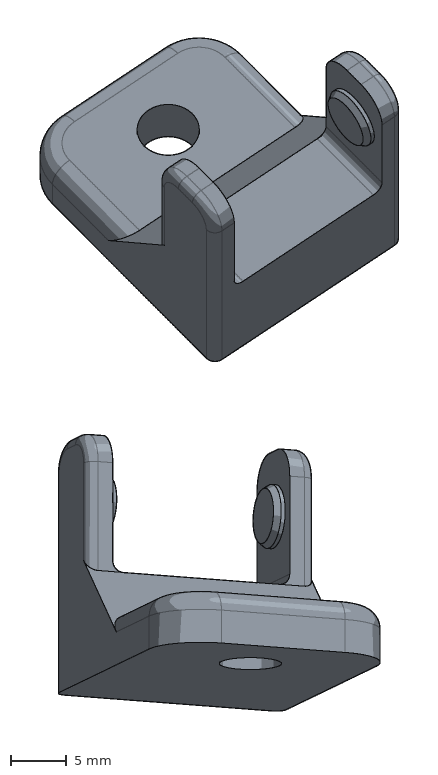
import cadquery as cq

length = 28.0
width = 22.0
height = 23.0

plate_height = 5.0
plate_corner_radius = 5.0
plate_edge_radius = 2.0
hole_diameter = 5.6
hole_x = 8.0

seat_height = 10.0

arm_depth = 8.0
arm_thickness = 2.45
arm_top_radius = 3.0
arm_edge_radius = 1.0
root_radius = 1.0

pin_diameter = 5.8
pin_length = 0.98
pin_taper_length = 0.6
pin_taper_inset = 0.4
pin_z = 17.0

arm_x = length - arm_depth
arm_center_x = length - arm_depth / 2
half_width = width / 2
arm_inner_y = half_width - arm_thickness


def make_plate():
    """Base plate with rounded front corners and a rounded top edge, ending inside the body."""
    plate = cq.Workplane("XY").box(arm_x, width, plate_height, centered=(False, True, False))
    plate = plate.edges("|Z and <X").fillet(plate_corner_radius)
    top_rim = plate.faces(">Z").edges("not >X")
    return top_rim.fillet(plate_edge_radius)


def make_body():
    """Full-width block whose front slope also fills the rounded edges it meets."""
    slope_start_z = plate_height - plate_edge_radius
    slope_start_x = arm_x - (seat_height - slope_start_z)
    slope_end_z = seat_height + arm_edge_radius
    slope_end_x = arm_x + arm_edge_radius
    body = (
        cq.Workplane("XZ", origin=(0, half_width, 0))
        .moveTo(slope_start_x, 0)
        .lineTo(slope_start_x, slope_start_z)
        .lineTo(slope_end_x, slope_end_z)
        .lineTo(length, slope_end_z)
        .lineTo(length, 0)
        .close()
        .extrude(width)
    )
    body = body.edges("|Z and >X").fillet(arm_edge_radius)
    channel = cq.Workplane("XY", origin=(0, 0, seat_height)).box(
        length, 2 * arm_inner_y, height, centered=(False, True, False)
    )
    return body.cut(channel)


def make_root_fillet():
    """Concave strip joining the seat to the +Y arm."""
    return (
        cq.Workplane("YZ", origin=(arm_x, 0, 0))
        .moveTo(arm_inner_y - root_radius, seat_height)
        .radiusArc((arm_inner_y, seat_height + root_radius), -root_radius)
        .lineTo(arm_inner_y, seat_height)
        .close()
        .extrude(arm_depth)
    )


def make_arm():
    """The +Y arm, rounded on top and along its outer edge, with its pin."""
    arm = (
        cq.Workplane("XY")
        .box(arm_depth, arm_thickness, height, centered=False)
        .translate((arm_x, arm_inner_y, 0))
        .edges("|Y and >Z")
        .fillet(arm_top_radius)
    )
    arm = arm.faces(">Y").edges("not <Z").fillet(arm_edge_radius)
    pin_radius = pin_diameter / 2
    pin_tip_y = arm_inner_y - pin_length
    pin = (
        cq.Workplane("XY", origin=(arm_center_x, 0, pin_z))
        .moveTo(0, arm_inner_y)
        .lineTo(pin_radius, arm_inner_y)
        .lineTo(pin_radius, pin_tip_y + pin_taper_length)
        .lineTo(pin_radius - pin_taper_inset, pin_tip_y)
        .lineTo(0, pin_tip_y)
        .close()
        .revolve(360, (0, 0, 0), (0, 1, 0))
    )
    return arm.union(pin).union(make_root_fillet())


arm = make_arm()
hole = cq.Workplane("XY").center(hole_x, 0).circle(hole_diameter / 2).extrude(plate_height)

result = make_plate().union(make_body()).union(arm).union(arm.mirror("XZ")).cut(hole)